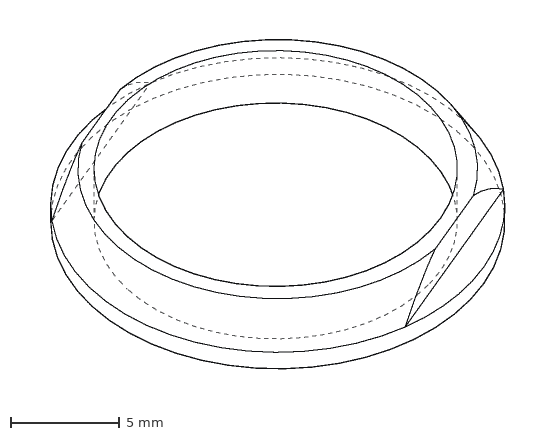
import cadquery as cq
import math

outer_diameter = 21.0
bore_diameter = 16.8
bore_offset_x = -0.1
total_height = 3.2
flange_height = 1.0
taper_angle = 30.0
width_across_flats = 18.0

outer_radius = outer_diameter / 2
taper_height = total_height - flange_height
top_radius = outer_radius - taper_height * math.tan(math.radians(taper_angle))


def solid_body():
    """Straight flange below a tapered collar, revolved about Z."""
    section = [
        (0, 0),
        (outer_radius, 0),
        (outer_radius, flange_height),
        (top_radius, total_height),
        (0, total_height),
    ]
    return cq.Workplane("XZ").polyline(section).close().revolve(360, (0, 0), (0, 1))


def bore_cutter():
    """Cylinder that opens the eccentric through bore."""
    return cq.Workplane("XY").center(bore_offset_x, 0).circle(bore_diameter / 2).extrude(total_height)


def flat_cutter(side):
    """Block that trims the collar to a flat on the +X (1) or -X (-1) side."""
    cut_depth = (outer_diameter - width_across_flats) / 2
    center_x = side * (width_across_flats + cut_depth) / 2
    return (
        cq.Workplane("XY", origin=(center_x, 0, flange_height))
        .box(cut_depth, outer_diameter, taper_height, centered=(True, True, False))
    )


result = solid_body().cut(bore_cutter())
for side in (-1, 1):
    result = result.cut(flat_cutter(side))